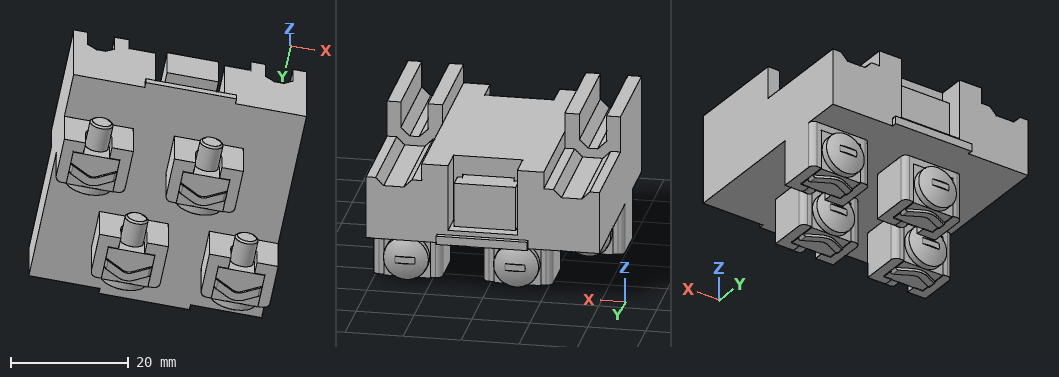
import cadquery as cq
import math


WIDTH = 40.3
DEPTH = 38.72
DECK_Z = 14.1
RIB_TOP_Z = 17.47
LOW_TOP_Z = 11.1
SIDE_WIDTH = 9.6

FRONT_GROOVE_START = 2.4
FRONT_GROOVE_WIDTH = 4.7
FRONT_GROOVE_FLOOR_Z = 11.4
FRONT_SLOPE_WIDTH = 1.55
FRONT_SLOPE_HEIGHT = 1.45
REAR_GROOVE_START = 1.7
REAR_GROOVE_WIDTH = 6.25
REAR_SLOPE = 1.4

POCKET_WIDTH = 11.93
POCKET_DEPTH = 5.05
POCKET_FLOOR_Z = 2.35
PASSAGE_TOP_Z = 10.7

STRIP_WIDTH = 15.7
STRIP_HEIGHT = 1.5
STRIP_REACH = 0.92

SLIDER_WIDTH = 8.95
SLIDER_TOP_Z = 10.2
SLIDER_REACH = 2.35
STOP_WIDTH = 10.63
STOP_DEPTH = 3.02

LEG_WIDTH = 11.93
LEG_DEPTH = 8.05
LEG_HEIGHT = 8.9
LEG_CORNER_RADIUS = 1.05
LEG_FRONT_WALL = 2.0
SCREW_SLOT_WIDTH = 4.55
OUTER_LEG_X = (WIDTH - LEG_WIDTH) / 2
INNER_LEG_X = 4.85
REAR_ROW_Y = 13.15
ROW_PITCH = 16.42
FRONT_ROW_Y = REAR_ROW_Y - ROW_PITCH
TERMINALS = [
    (-OUTER_LEG_X, FRONT_ROW_Y),
    (INNER_LEG_X, FRONT_ROW_Y),
    (-INNER_LEG_X, REAR_ROW_Y),
    (OUTER_LEG_X, REAR_ROW_Y),
]

SCREW_Z = -5.2
SHANK_DIAMETER = 4.0
SHANK_REACH = 2.7
TIP_CHAMFER = 0.35
HEAD_DIAMETER = 7.75
HEAD_RIM = 1.3
DOME_HEIGHT = 1.1
DRIVER_SLOT_WIDTH = 1.2
DRIVER_SLOT_DEPTH = 0.2

CLAMP_WIDTH = 8.05
CLAMP_DROP = 0.15
LIP_DROP = 0.67
LIP_END_SETBACK = 2.4
LIP_END_DEPTH = 1.6
LIP_ANGLE = 27.5
LIP_BEND_RADIUS = 1.72
LIP_CORNER_RADIUS = 0.4
CLAMP_DEPTH = LEG_DEPTH - LEG_FRONT_WALL
CLAMP_BOTTOM_Z = -LEG_HEIGHT - CLAMP_DROP
CLAMP_TOP_Z = 2 * SCREW_Z - CLAMP_BOTTOM_Z


def box(x0, x1, y0, y1, z0, z1):
    """Block between two opposite corners."""
    return cq.Workplane("XY").box(x1 - x0, y1 - y0, z1 - z0, centered=False).translate((x0, y0, z0))


def wide_box(width, y0, y1, z0, z1):
    """Block centred on X = 0."""
    return box(-width / 2, width / 2, y0, y1, z0, z1)


def groove(x0, width, floor_z, slope_width, slope_height, y0, y1):
    """Cutter for a groove along Y with sloping lower corners, open above."""
    x1 = x0 + width
    shoulder_z = floor_z + slope_height
    outline = [
        (x0, RIB_TOP_Z),
        (x0, shoulder_z),
        (x0 + slope_width, floor_z),
        (x1 - slope_width, floor_z),
        (x1, shoulder_z),
        (x1, RIB_TOP_Z),
    ]
    return cq.Workplane("XZ", origin=(0, y1, 0)).polyline(outline).close().extrude(y1 - y0)


def y_cylinder(diameter, x, z, y0, y1):
    """Cylinder along Y."""
    return cq.Workplane("XZ", origin=(x, y1, z)).circle(diameter / 2).extrude(y1 - y0)


def make_leg(x, rear_y):
    """Terminal leg with a clamp recess open to the rear and below, and a screw slot in its front wall."""
    front_y = rear_y - LEG_DEPTH
    recess_y = front_y + LEG_FRONT_WALL
    leg = box(x - LEG_WIDTH / 2, x + LEG_WIDTH / 2, front_y, rear_y, -LEG_HEIGHT, 0)
    leg = leg.faces(">Y").edges("|Z").fillet(LEG_CORNER_RADIUS)
    recess = box(x - CLAMP_WIDTH / 2, x + CLAMP_WIDTH / 2, recess_y, rear_y, -LEG_HEIGHT, CLAMP_TOP_Z)
    half_slot = SCREW_SLOT_WIDTH / 2
    slot = box(x - half_slot, x + half_slot, front_y, recess_y, -LEG_HEIGHT, SCREW_Z)
    slot_end = y_cylinder(SCREW_SLOT_WIDTH, x, SCREW_Z, front_y, recess_y)
    return leg.cut(recess).cut(slot).cut(slot_end)


def make_housing():
    """Grooved block with end pockets, a slider passage, foot strips and four terminal legs."""
    half_depth = DEPTH / 2
    deck_half = WIDTH / 2 - SIDE_WIDTH
    body = wide_box(WIDTH, -half_depth, half_depth, 0, DECK_Z)

    rear_floor_z = LOW_TOP_Z - REAR_SLOPE
    for side_x in (-WIDTH / 2, deck_half):
        body = body.union(box(side_x, side_x + SIDE_WIDTH, -half_depth, 0, 0, RIB_TOP_Z))
        body = body.cut(box(side_x, side_x + SIDE_WIDTH, 0, half_depth, LOW_TOP_Z, DECK_Z))
        body = body.cut(groove(side_x + REAR_GROOVE_START, REAR_GROOVE_WIDTH, rear_floor_z,
                               REAR_SLOPE, REAR_SLOPE, 0, half_depth))

    outer_start = WIDTH / 2 - FRONT_GROOVE_START
    for groove_x in (-outer_start, outer_start - FRONT_GROOVE_WIDTH):
        body = body.cut(groove(groove_x, FRONT_GROOVE_WIDTH, FRONT_GROOVE_FLOOR_Z,
                               FRONT_SLOPE_WIDTH, FRONT_SLOPE_HEIGHT, -half_depth, 0))

    inner_y = half_depth - POCKET_DEPTH
    body = body.cut(wide_box(POCKET_WIDTH, -half_depth, -inner_y, POCKET_FLOOR_Z, DECK_Z))
    body = body.cut(wide_box(POCKET_WIDTH, inner_y, half_depth, POCKET_FLOOR_Z, DECK_Z))
    body = body.cut(wide_box(SLIDER_WIDTH, -inner_y, inner_y, POCKET_FLOOR_Z, PASSAGE_TOP_Z))

    strip_y = half_depth + STRIP_REACH
    body = body.union(wide_box(STRIP_WIDTH, -strip_y, strip_y, 0, STRIP_HEIGHT))

    for x, rear_y in TERMINALS:
        body = body.union(make_leg(x, rear_y))
    return body


def make_slider():
    """Bar through the passage, with a wider stop in the rear pocket."""
    inner_y = DEPTH / 2 - POCKET_DEPTH
    front_y = -DEPTH / 2 - SLIDER_REACH
    bar = wide_box(SLIDER_WIDTH, front_y, inner_y, POCKET_FLOOR_Z, SLIDER_TOP_Z)
    stop = wide_box(STOP_WIDTH, inner_y, inner_y + STOP_DEPTH, POCKET_FLOOR_Z, SLIDER_TOP_Z)
    return bar.union(stop)


def make_screw(x, rear_y):
    """Domed screw with its head against the rear of the clamp, turned about its Y axis."""
    shank_radius = SHANK_DIAMETER / 2
    head_radius = HEAD_DIAMETER / 2
    tip_y = -LEG_DEPTH - SHANK_REACH
    apex_y = HEAD_RIM + DOME_HEIGHT
    dome_radius = (head_radius**2 + DOME_HEIGHT**2) / (2 * DOME_HEIGHT)
    mid_x = head_radius / 2
    mid_y = apex_y - dome_radius + math.sqrt(dome_radius**2 - mid_x**2)
    profile = (
        cq.Workplane("XY")
        .moveTo(0, tip_y)
        .lineTo(shank_radius - TIP_CHAMFER, tip_y)
        .lineTo(shank_radius, tip_y + TIP_CHAMFER)
        .lineTo(shank_radius, 0)
        .lineTo(head_radius, 0)
        .lineTo(head_radius, HEAD_RIM)
        .threePointArc((mid_x, mid_y), (0, apex_y))
        .close()
    )
    screw = profile.revolve(360, (0, 0, 0), (0, 1, 0))
    half_slot = DRIVER_SLOT_WIDTH / 2
    slot = wide_box(HEAD_DIAMETER, apex_y - DRIVER_SLOT_DEPTH, apex_y, -half_slot, half_slot)
    return screw.cut(slot).translate((x, rear_y, SCREW_Z))


def make_lip():
    """Plate bent to a shallow V with its hollow side to the front, below the clamp block."""
    half_width = CLAMP_WIDTH / 2
    bottom_z = -LEG_HEIGHT - LIP_DROP
    angle = math.radians(LIP_ANGLE)
    rise = half_width * math.tan(angle)
    rear_end_y = -LIP_END_SETBACK
    front_end_y = rear_end_y - LIP_END_DEPTH
    outer_bend_radius = LIP_BEND_RADIUS + LIP_END_DEPTH * math.cos(angle)
    lip = (
        cq.Workplane("XY", origin=(0, 0, bottom_z))
        .moveTo(-half_width, front_end_y)
        .lineTo(0, front_end_y + rise)
        .lineTo(half_width, front_end_y)
        .lineTo(half_width, rear_end_y)
        .lineTo(0, rear_end_y + rise)
        .lineTo(-half_width, rear_end_y)
        .close()
        .extrude(CLAMP_BOTTOM_Z - bottom_z)
    )
    lip = lip.edges("|Z and >Y").fillet(outer_bend_radius)
    bend_middle = (0, front_end_y + rise, (bottom_z + CLAMP_BOTTOM_Z) / 2)
    lip = lip.edges(cq.selectors.NearestToPointSelector(bend_middle)).fillet(LIP_BEND_RADIUS)
    return lip.faces("<X or >X").edges("<Z").fillet(LIP_CORNER_RADIUS)


def make_clamp(x, rear_y):
    """Drilled square block with a bent lip below it."""
    block = wide_box(CLAMP_WIDTH, -CLAMP_DEPTH, 0, CLAMP_BOTTOM_Z, CLAMP_TOP_Z)
    hole = y_cylinder(SHANK_DIAMETER, 0, SCREW_Z, -CLAMP_DEPTH, 0)
    return block.union(make_lip()).cut(hole).translate((x, rear_y, 0))


housing = make_housing()
slider = make_slider()
screws = [make_screw(x, rear_y) for x, rear_y in TERMINALS]
clamps = [make_clamp(x, rear_y) for x, rear_y in TERMINALS]

result = cq.Compound.makeCompound(
    [housing.val(), slider.val(), *[screw.val() for screw in screws], *[clamp.val() for clamp in clamps]]
)